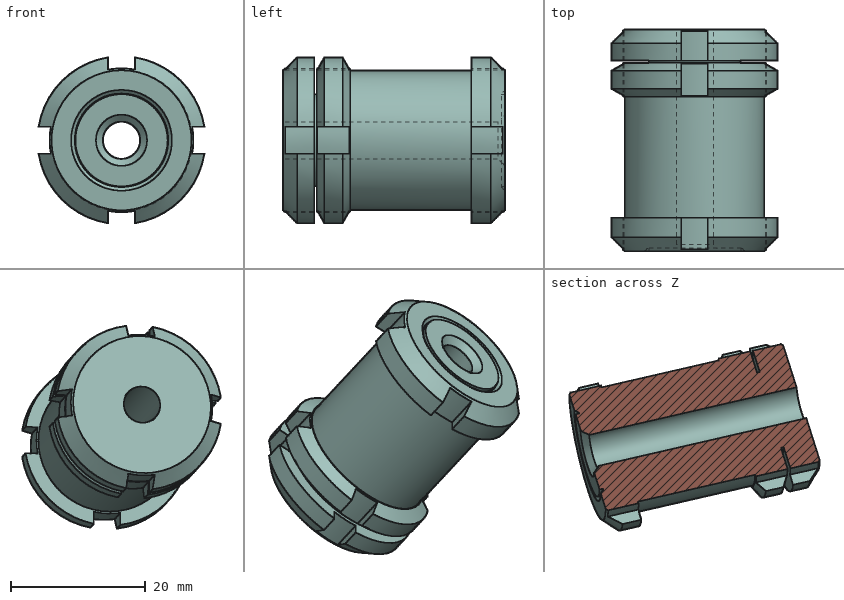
import cadquery as cq
import math

total_length = 33.0
front_flange_length = 5.0
collar_front = 23.0
collar_back = 28.0
back_flange_front = 28.35

rim_diameter = 25.0
sleeve_diameter = 20.8
core_diameter = 13.7
sleeve_bore_diameter = 13.92
countersink_diameter = 15.0
hole_diameter = 5.5
hole_mouth_diameter = 7.6

flange_bevel_foot = sleeve_diameter
flange_bevel_angle = math.radians(45)
collar_bevel_foot = 21.0
collar_bevel_angle = math.radians(60)

slot_count = 4
slot_width = 4.0
slot_floor_diameter = 21.4


def cylinder(diameter, y_start, y_end):
    """Solid cylinder along +Y between two stations."""
    return cq.Workplane("XZ", origin=(0, y_start, 0)).circle(diameter / 2).extrude(y_start - y_end)


def cone(diameter_start, diameter_end, y_start, y_end):
    """Solid truncated cone along +Y between two stations."""
    return cq.Workplane(obj=cq.Solid.makeCone(
        diameter_start / 2,
        diameter_end / 2,
        y_end - y_start,
        cq.Vector(0, y_start, 0),
        cq.Vector(0, 1, 0),
    ))


def slotted_rim(y_start, y_end, foot_diameter, bevel_angle, bevel_front, bevel_back):
    """Round rim with a bevel on the chosen ends and spanner slots around it."""
    bevel_length = (rim_diameter - foot_diameter) / 2 / math.tan(bevel_angle)
    rim = cylinder(rim_diameter, y_start, y_end)
    if bevel_front:
        bevel_end = y_start + bevel_length
        rim = rim.cut(cylinder(rim_diameter, y_start, bevel_end))
        rim = rim.union(cone(foot_diameter, rim_diameter, y_start, bevel_end))
    if bevel_back:
        bevel_start = y_end - bevel_length
        rim = rim.cut(cylinder(rim_diameter, bevel_start, y_end))
        rim = rim.union(cone(rim_diameter, foot_diameter, bevel_start, y_end))
    return rim.cut(spanner_slots(y_start, y_end))


def spanner_slots(y_start, y_end):
    """Cutter for the slots, leaving a round floor concentric with the part."""
    length = y_end - y_start
    bar = cq.Workplane("XY").box(rim_diameter, length, slot_width)
    bar = bar.translate((rim_diameter / 2, (y_start + y_end) / 2, 0))
    slots = cq.Workplane("XY")
    for index in range(slot_count):
        angle = index * 360 / slot_count
        slots = slots.add(bar.rotate((0, 0, 0), (0, 1, 0), angle))
    return slots.combine().cut(cylinder(slot_floor_diameter, y_start, y_end))


def front_ring_recess():
    """Countersunk ring between the sleeve bore and the core at the front face."""
    depth = (countersink_diameter - sleeve_bore_diameter) / 2
    flare = cone(countersink_diameter, sleeve_bore_diameter, 0, depth)
    return flare.cut(cylinder(core_diameter, 0, depth))


def through_hole():
    """Central hole with a 45 degree countersink at the front face."""
    depth = (hole_mouth_diameter - hole_diameter) / 2
    hole = cylinder(hole_diameter, 0, total_length)
    return hole.union(cone(hole_mouth_diameter, hole_diameter, 0, depth))


sleeve = cylinder(sleeve_diameter, 0, collar_back)
core = cylinder(core_diameter, 0, total_length)
front_flange = slotted_rim(
    0, front_flange_length, flange_bevel_foot, flange_bevel_angle, bevel_front=True, bevel_back=False
)
collar = slotted_rim(
    collar_front, collar_back, collar_bevel_foot, collar_bevel_angle, bevel_front=True, bevel_back=True
)
back_flange = slotted_rim(
    back_flange_front, total_length, flange_bevel_foot, flange_bevel_angle, bevel_front=False, bevel_back=True
)

body = sleeve.union(core).union(front_flange).union(collar).union(back_flange)
result = body.cut(front_ring_recess()).cut(through_hole())